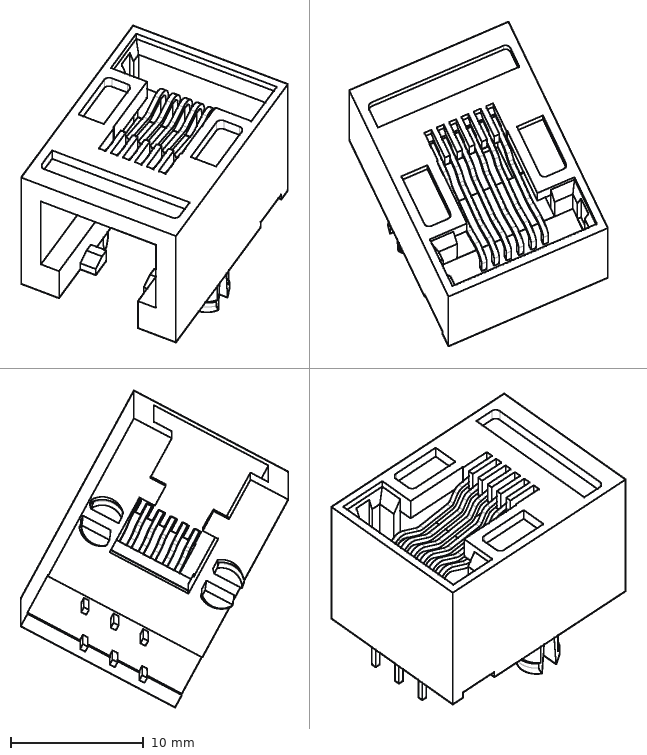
import cadquery as cq
import math


WIDTH = 13.21
LENGTH = 18.1
HEIGHT = 11.51
FRONT = -LENGTH / 2

CAVITY_WIDTH = 9.81
CAVITY_ROOF = 9.74
LEDGE_TOP = 2.93
LATCH_SLOT_WIDTH = 6.73
SHELF_FRONT = 0.87
SHELF_TOP = 6.55
SHELF_WIDTH = 8.07
STOP_FRONT = 0.0
STOP_TOP = 4.07
GROOVE_BOTTOM = 1.12
GROOVE_TOP = 1.27
GROOVE_DEPTH = 0.15

CATCH_FRONT = -5.61
CATCH_SLOPE_END = -4.6
CATCH_REAR = -3.9
CATCH_TOP = 1.12
CATCH_NOSE = 0.67
CATCH_GAP = 4.09

POCKET_FRONT = 4.3
POCKET_REAR = 8.4
POCKET_WIDTH = 11.98
TAPER_TOP = 10.95
TAPER_BOTTOM = 9.86
LOWER_FRONT = 4.98
LOWER_REAR = 7.95
LOWER_WIDTH = 11.11
POCKET_FLOOR = 6.5
SIDE_GROOVE_WIDTH = 11.73
SIDE_GROOVE_FRONT = 5.8
SIDE_GROOVE_REAR = 7.13
SIDE_GROOVE_FLOOR = 6.32

OPENING_WIDTH = 5.83
OPENING_FRONT = -1.15
ROOF_SLOT_WIDTH = 0.58
ROOF_SLOT_THROUGH = -2.14
ROOF_SLOT_RAMP = -3.17
ROOF_SLOT_FRONT = -3.6
ROOF_SLOT_FLOOR = 10.2

RECESS_SPAN = 11.73
RECESS_DEPTH = 0.9
RECESS_RADIUS = 0.42
SIDE_RECESS_WIDTH = 2.15
SIDE_RECESS_FRONT = OPENING_FRONT
SIDE_RECESS_REAR = 3.38
FRONT_RECESS_FRONT = -7.45
FRONT_RECESS_REAR = -5.43

CONTACT_COUNT = 6
CONTACT_SPAN = 5.1
CONTACT_PITCH = CONTACT_SPAN / (CONTACT_COUNT - 1)
CONTACT_WIDTH = 0.42
CONTACT_THICKNESS = 0.4
CONTACT_FRONT = -2.91
CONTACT_FRONT_TOP = 10.55
DROP_TOP_Y = -0.25
DROP_TOP_Z = 10.08
DROP_BOTTOM_Y = 0.43
DROP_BOTTOM_Z = 8.96
VALLEY_Y = 3.73
VALLEY_Z = 8.5
BEND_INNER_RADIUS = 0.36
VALLEY_INNER_RADIUS = 0.98
CURL_RADIUS = 1.0
CURL_REAR = 6.66
CURL_AXIS_Z = 8.25
CURL_START_ANGLE = 24.0
LEG_BOTTOM = POCKET_FLOOR - 0.55

PIN_WIDTH = 0.43
PIN_PITCH = 1.27
PIN_LENGTH = 3.3
FRONT_ROW = 5.18
REAR_ROW = 7.71
PIN_NOTCH_FRONT = 4.69
PIN_NOTCH_REAR = 7.96
PIN_NOTCH_HEIGHT = 0.55
PIN_ROOT = PIN_NOTCH_HEIGHT + 0.36

PEG_X = 5.1
PEG_Y = -1.18
PEG_RADIUS = 1.63
PEG_LIP_RADIUS = 1.75
PEG_TIP_RADIUS = 1.55
PEG_LIP_TOP = -1.8
PEG_LIP_BOTTOM = -2.2
PEG_BOTTOM = -3.02
PEG_OUTER_FLAT = 6.46
PEG_INNER_FLAT = 4.09
PEG_GAP_TOP = 1.03
PEG_GAP_BOTTOM = 1.45


def block(x_range, y_range, z_range):
    """Box between two values on each axis."""
    (x0, x1), (y0, y1), (z0, z1) = x_range, y_range, z_range
    return cq.Workplane("XY").box(x1 - x0, y1 - y0, z1 - z0, centered=False).translate((x0, y0, z0))


def centred_block(width, y_range, z_range):
    """Box symmetric about the YZ plane."""
    return block((-width / 2, width / 2), y_range, z_range)


def both_sides(shape):
    """The shape together with its mirror image across the YZ plane."""
    return shape.union(shape.mirror("YZ"))


def across(outline, width, x_centre=0.0):
    """Closed YZ outline extruded along X, centred on x_centre."""
    return outline.extrude(width / 2, both=True).translate((x_centre, 0, 0))


def row_positions(pitch):
    """X positions of one row of contacts or pins, centred on the housing."""
    return [(i - (CONTACT_COUNT - 1) / 2) * pitch for i in range(CONTACT_COUNT)]


def plug_cavity():
    upper = centred_block(CAVITY_WIDTH, (FRONT, POCKET_FRONT), (LEDGE_TOP, CAVITY_ROOF))
    shelf = centred_block(SHELF_WIDTH, (SHELF_FRONT, POCKET_FRONT), (LEDGE_TOP, SHELF_TOP))
    stops = centred_block(CAVITY_WIDTH, (STOP_FRONT, POCKET_FRONT), (LEDGE_TOP, STOP_TOP))
    latch_slot = centred_block(LATCH_SLOT_WIDTH, (FRONT, SHELF_FRONT), (0, STOP_TOP))
    groove = centred_block(
        LATCH_SLOT_WIDTH, (SHELF_FRONT, SHELF_FRONT + GROOVE_DEPTH), (GROOVE_BOTTOM, GROOVE_TOP)
    )
    return upper.cut(shelf).cut(stops).union(latch_slot).union(groove)


def latch_catches():
    width = (LATCH_SLOT_WIDTH - CATCH_GAP) / 2
    outline = (
        cq.Workplane("YZ")
        .moveTo(CATCH_FRONT, 0)
        .lineTo(CATCH_FRONT, CATCH_NOSE)
        .lineTo(CATCH_SLOPE_END, CATCH_TOP)
        .lineTo(CATCH_REAR, CATCH_TOP)
        .lineTo(CATCH_REAR, 0)
        .close()
    )
    return both_sides(across(outline, width, (CATCH_GAP + width) / 2))


def rear_pocket():
    rim = centred_block(POCKET_WIDTH, (POCKET_FRONT, POCKET_REAR), (TAPER_TOP, HEIGHT))
    upper_centre = (POCKET_FRONT + POCKET_REAR) / 2
    lower_centre = (LOWER_FRONT + LOWER_REAR) / 2
    taper = (
        cq.Workplane("XY", origin=(0, upper_centre, TAPER_TOP))
        .rect(POCKET_WIDTH, POCKET_REAR - POCKET_FRONT)
        .workplane(offset=TAPER_BOTTOM - TAPER_TOP)
        .center(0, lower_centre - upper_centre)
        .rect(LOWER_WIDTH, LOWER_REAR - LOWER_FRONT)
        .loft(ruled=True)
    )
    lower = centred_block(LOWER_WIDTH, (LOWER_FRONT, LOWER_REAR), (POCKET_FLOOR, TAPER_BOTTOM))
    passage = centred_block(SHELF_WIDTH, (POCKET_FRONT, LOWER_FRONT), (SHELF_TOP, HEIGHT))
    side_groove = block(
        (LOWER_WIDTH / 2, SIDE_GROOVE_WIDTH / 2),
        (SIDE_GROOVE_FRONT, SIDE_GROOVE_REAR),
        (SIDE_GROOVE_FLOOR, TAPER_TOP),
    )
    return rim.union(taper).union(lower).union(passage).union(both_sides(side_groove))


def roof_openings():
    openings = centred_block(OPENING_WIDTH, (OPENING_FRONT, POCKET_FRONT), (CAVITY_ROOF, HEIGHT))
    ramp_top = ROOF_SLOT_FLOOR + ROOF_SLOT_RAMP - ROOF_SLOT_FRONT
    for x in row_positions(CONTACT_PITCH):
        outline = (
            cq.Workplane("YZ")
            .moveTo(OPENING_FRONT, HEIGHT)
            .lineTo(OPENING_FRONT, CAVITY_ROOF)
            .lineTo(ROOF_SLOT_THROUGH, CAVITY_ROOF)
            .lineTo(ROOF_SLOT_THROUGH, ROOF_SLOT_FLOOR)
            .lineTo(ROOF_SLOT_RAMP, ROOF_SLOT_FLOOR)
            .lineTo(ROOF_SLOT_FRONT, ramp_top)
            .lineTo(ROOF_SLOT_FRONT, HEIGHT)
            .close()
        )
        openings = openings.union(across(outline, ROOF_SLOT_WIDTH, x))
    return openings


def top_recesses():
    floor = HEIGHT - RECESS_DEPTH
    half_span = RECESS_SPAN / 2
    side = block(
        (half_span - SIDE_RECESS_WIDTH, half_span),
        (SIDE_RECESS_FRONT, SIDE_RECESS_REAR),
        (floor, HEIGHT),
    )
    side = side.faces(">Y").edges("|Z").fillet(RECESS_RADIUS)
    front = centred_block(RECESS_SPAN, (FRONT_RECESS_FRONT, FRONT_RECESS_REAR), (floor, HEIGHT))
    front = front.faces("<Y").edges("|Z").fillet(RECESS_RADIUS)
    return both_sides(side).union(front)


def pin_notch():
    return centred_block(WIDTH, (PIN_NOTCH_FRONT, PIN_NOTCH_REAR), (0, PIN_NOTCH_HEIGHT))


def mitred_offset(points, distance):
    """Corner points of an open polyline shifted sideways, to the right of its direction."""
    angles = [math.atan2(z1 - z0, y1 - y0) for (y0, z0), (y1, z1) in zip(points, points[1:])]
    shifted = []
    for (y, z), before, after in zip(points, angles[:1] + angles, angles + angles[-1:]):
        middle = (before + after) / 2
        reach = distance / math.cos((after - before) / 2)
        shifted.append((y + reach * math.sin(middle), z - reach * math.cos(middle)))
    return shifted


def contact():
    """Bent strip: shallow run, steep drop, shallow run, rise, and a curl down into the pocket floor."""
    start_angle = math.radians(CURL_START_ANGLE)
    middle_angle = (math.pi / 2 - start_angle) / 2
    inner_radius = CURL_RADIUS - CONTACT_THICKNESS

    def on_curl(radius, angle):
        """Point on the curl, with the angle measured from straight up towards the rear."""
        y = CURL_REAR - CURL_RADIUS + radius * math.sin(angle)
        return (y, CURL_AXIS_Z + radius * math.cos(angle))

    upper = [
        (CONTACT_FRONT, CONTACT_FRONT_TOP),
        (DROP_TOP_Y, DROP_TOP_Z),
        (DROP_BOTTOM_Y, DROP_BOTTOM_Z),
        (VALLEY_Y, VALLEY_Z),
        on_curl(CURL_RADIUS, -start_angle),
    ]
    lower = mitred_offset(upper, CONTACT_THICKNESS)
    outline = (
        cq.Workplane("YZ")
        .polyline(upper)
        .threePointArc(on_curl(CURL_RADIUS, middle_angle), on_curl(CURL_RADIUS, math.pi / 2))
        .lineTo(CURL_REAR, LEG_BOTTOM)
        .lineTo(CURL_REAR - CONTACT_THICKNESS, LEG_BOTTOM)
        .lineTo(*on_curl(inner_radius, math.pi / 2))
        .threePointArc(on_curl(inner_radius, middle_angle), lower[-1])
    )
    for point in reversed(lower[:-1]):
        outline = outline.lineTo(*point)
    strip = across(outline.close(), CONTACT_WIDTH)

    bend_outer = BEND_INNER_RADIUS + CONTACT_THICKNESS
    valley_outer = VALLEY_INNER_RADIUS + CONTACT_THICKNESS
    upper_radii = [bend_outer, BEND_INNER_RADIUS, VALLEY_INNER_RADIUS]
    lower_radii = [BEND_INNER_RADIUS, bend_outer, valley_outer]
    for (y, z), radius in zip(upper[1:-1] + lower[1:-1], upper_radii + lower_radii):
        strip = strip.edges(cq.NearestToPointSelector((0, y, z))).fillet(radius)
    return strip


def solder_pins():
    pins = cq.Workplane("XY")
    for i, x in enumerate(row_positions(PIN_PITCH)):
        y = REAR_ROW if i % 2 else FRONT_ROW
        half = PIN_WIDTH / 2
        pins = pins.union(block((x - half, x + half), (y - half, y + half), (-PIN_LENGTH, PIN_ROOT)))
    return pins


def snap_pegs():
    turned = (
        cq.Workplane("YZ")
        .lineTo(-PEG_RADIUS, 0)
        .lineTo(-PEG_RADIUS, PEG_LIP_TOP)
        .lineTo(-PEG_LIP_RADIUS, PEG_LIP_TOP)
        .lineTo(-PEG_LIP_RADIUS, PEG_LIP_BOTTOM)
        .lineTo(-PEG_TIP_RADIUS, PEG_BOTTOM)
        .lineTo(0, PEG_BOTTOM)
        .close()
        .revolve(360, (0, 0, 0), (0, 1, 0))
        .translate((PEG_X, PEG_Y, 0))
    )
    flats = block(
        (PEG_INNER_FLAT, PEG_OUTER_FLAT),
        (PEG_Y - PEG_LIP_RADIUS, PEG_Y + PEG_LIP_RADIUS),
        (PEG_BOTTOM, 0),
    )
    gap_outline = (
        cq.Workplane("YZ")
        .moveTo(PEG_Y - PEG_GAP_TOP / 2, 0)
        .lineTo(PEG_Y + PEG_GAP_TOP / 2, 0)
        .lineTo(PEG_Y + PEG_GAP_BOTTOM / 2, PEG_BOTTOM)
        .lineTo(PEG_Y - PEG_GAP_BOTTOM / 2, PEG_BOTTOM)
        .close()
    )
    gap = across(gap_outline, 2 * PEG_LIP_RADIUS, PEG_X)
    return both_sides(turned.intersect(flats).cut(gap))


housing = centred_block(WIDTH, (FRONT, -FRONT), (0, HEIGHT))
for cavity in (plug_cavity(), rear_pocket(), roof_openings(), top_recesses(), pin_notch()):
    housing = housing.cut(cavity)

result = housing.union(latch_catches()).union(solder_pins()).union(snap_pegs())
spring_contact = contact()
for contact_x in row_positions(CONTACT_PITCH):
    result = result.union(spring_contact.translate((contact_x, 0, 0)))